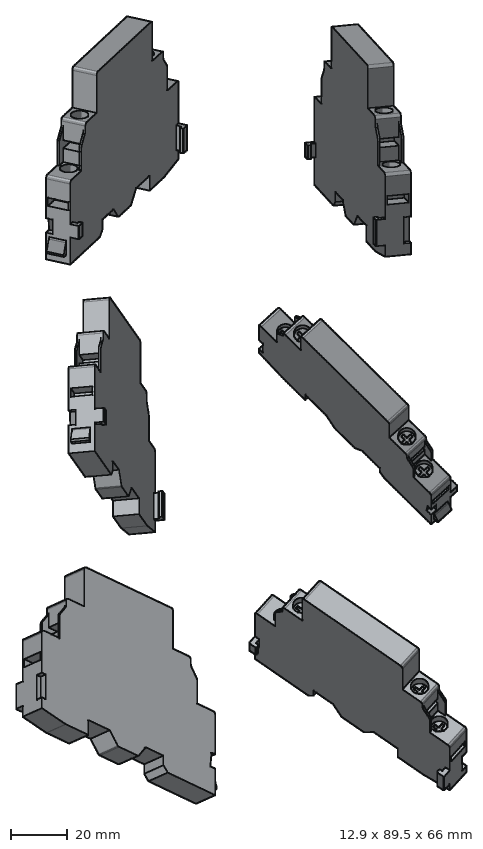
import cadquery as cq


overall_width = 12.9
overall_length = 89.5

body_width = 9.5
body_half = 43.7
body_height = 66.0
top_half = 22.5
upper_shelf_half = 31.4
upper_shelf_z = 50.1
ear_half = 34.6
lower_shelf_z = 32.9
ear_slope_top_z = 46.6
ear_slope_bottom_z = 42.5
ear_radius = 1.8
edge_radius = 1.1
mid_x = body_width / 2

slot_ceiling_z = 5.9
slot_back_y = 20.2
slot_front_y = -17.55
tongue_z = 1.1
tongue_root_back_y = 9.5
tongue_root_front_y = -8.7
tongue_tip_back_y = 5.3
tongue_tip_front_y = -4.9
tongue_radius = 0.7
foot_chamfer = 2.15
heel_y = 31.9
heel_z = 1.9

ear_thickness = 0.8
recess_width = body_width - 2 * ear_thickness
window_height = 3.2
window_depth = 5.4
upper_window_z = 39.9
lower_window_z = 22.8

screw_offsets = (26.4, 35.1)
screw_shelves = (upper_shelf_z, lower_shelf_z)
screw_diameter = 6.3
screw_depth = 3.6
cross_length = 4.65
cross_width = 1.1
cross_depth = 0.5

hook_reach = overall_width - body_width
hook_thickness = 2.0
hook_tip_width = 1.5
hook_length = 3.2
hook_chamfer = 0.3
hook_top_z = 15.9
front_hook_bottom_z = 10.7
back_hook_bottom_z = 6.2
notch_width = 2.6
front_notch_top_depth = 1.9
front_notch_bottom_depth = 2.4
front_notch_top_z = 16.2
front_notch_bottom_z = 10.6

latch_width = 6.6
latch_left_x = 1.3
latch_reach = overall_length - 2 * body_half
latch_top_z = 9.1
latch_bottom_z = 3.5
latch_shoulder_reach = 0.45
latch_shoulder_z = 8.6
latch_lip_undercut = 0.3
latch_lip_z = 4.4


def block(x_range, y_range, z_range):
    """Box spanning the given ranges."""
    size = [abs(high - low) for low, high in (x_range, y_range, z_range)]
    corner = [min(span) for span in (x_range, y_range, z_range)]
    return cq.Workplane("XY").box(*size, centered=False).translate(tuple(corner))


def side_prism(points, x_start, width):
    """Outline of (Y, Z) points extruded along +X."""
    return cq.Workplane("YZ", origin=(x_start, 0, 0)).polyline(points).close().extrude(width)


def make_housing():
    outline = [
        (-body_half, 0),
        (slot_front_y - foot_chamfer, 0),
        (slot_front_y, foot_chamfer),
        (slot_front_y, slot_ceiling_z),
        (tongue_root_front_y, slot_ceiling_z),
        (tongue_tip_front_y, tongue_z),
        (tongue_tip_back_y, tongue_z),
        (tongue_root_back_y, slot_ceiling_z),
        (slot_back_y, slot_ceiling_z),
        (slot_back_y, 0),
        (heel_y, 0),
        (body_half, heel_z),
    ]
    back_steps = [
        (body_half, lower_shelf_z),
        (ear_half, lower_shelf_z),
        (ear_half, ear_slope_bottom_z),
        (upper_shelf_half, ear_slope_top_z),
        (upper_shelf_half, upper_shelf_z),
        (top_half, upper_shelf_z),
        (top_half, body_height),
    ]
    front_steps = [(-y, z) for y, z in reversed(back_steps)]
    housing = side_prism(outline + back_steps + front_steps, 0, body_width)

    rounded_edges = [
        (top_half, body_height, edge_radius),
        (upper_shelf_half, upper_shelf_z, edge_radius),
        (body_half, lower_shelf_z, edge_radius),
        (upper_shelf_half, ear_slope_top_z, ear_radius),
        (ear_half, ear_slope_bottom_z, ear_radius),
    ]
    rounded_edges += [(-y, z, radius) for y, z, radius in rounded_edges]
    rounded_edges += [
        (tongue_tip_front_y, tongue_z, tongue_radius),
        (tongue_tip_back_y, tongue_z, tongue_radius),
    ]
    for y, z, radius in rounded_edges:
        nearest_edge = cq.selectors.NearestToPointSelector((mid_x, y, z))
        housing = housing.edges("|X").edges(nearest_edge).fillet(radius)
    return housing


def make_terminal_cut(side):
    """Recess between the ears and two wire windows; side is -1 for front, 1 for back."""
    x_range = (ear_thickness, ear_thickness + recess_width)
    recess_y = (side * upper_shelf_half, side * ear_half)
    cut = block(x_range, recess_y, (lower_shelf_z, upper_shelf_z))
    for face_y, z in ((upper_shelf_half, upper_window_z), (body_half, lower_window_z)):
        window_y = (side * (face_y - window_depth), side * face_y)
        window_z = (z - window_height / 2, z + window_height / 2)
        cut = cut.union(block(x_range, window_y, window_z))
    return cut


def make_screw_cut(y, shelf_z):
    """Round screw well with a cross-shaped driver slot in its floor."""
    floor_z = shelf_z - screw_depth
    well = cq.Workplane("XY", origin=(mid_x, y, floor_z)).circle(screw_diameter / 2).extrude(screw_depth)
    floor = cq.Workplane("XY", origin=(mid_x, y, floor_z))
    for size in ((cross_length, cross_width), (cross_width, cross_length)):
        well = well.union(floor.rect(*size).extrude(-cross_depth))
    return well


def make_hook(side, bottom_z):
    """L-shaped hook on the right face, its tip pointing towards mid-length."""
    tip_right_x = body_width + hook_reach
    tip_left_x = tip_right_x - hook_tip_width
    outer_y = side * body_half
    inner_y = side * (body_half - hook_thickness)
    tip_y = side * (body_half - hook_length)
    outline = [
        (mid_x, outer_y),
        (tip_right_x, outer_y),
        (tip_right_x, tip_y),
        (tip_left_x, tip_y),
        (tip_left_x, inner_y),
        (mid_x, inner_y),
    ]
    hook = cq.Workplane("XY", origin=(0, 0, bottom_z)).polyline(outline).close()
    hook = hook.extrude(hook_top_z - bottom_z)
    middle_z = (hook_top_z + bottom_z) / 2
    for x, y in outline[1:4]:
        corner = cq.selectors.NearestToPointSelector((x, y, middle_z))
        hook = hook.edges("|Z").edges(corner).chamfer(hook_chamfer)
    return hook


def make_front_notch():
    outline = [
        (-body_half, front_notch_bottom_z),
        (-body_half + front_notch_bottom_depth, front_notch_bottom_z),
        (-body_half + front_notch_top_depth, front_notch_top_z),
        (-body_half, front_notch_top_z),
    ]
    return side_prism(outline, 0, notch_width)


def make_back_notch():
    y_range = (body_half - hook_thickness, body_half)
    return block((0, notch_width), y_range, (back_hook_bottom_z, hook_top_z))


def make_latch():
    outline = [
        (-body_half, latch_top_z),
        (-body_half - latch_shoulder_reach, latch_shoulder_z),
        (-body_half - latch_reach, latch_lip_z),
        (-body_half - latch_reach + latch_lip_undercut, latch_bottom_z),
        (-body_half, latch_bottom_z),
    ]
    return side_prism(outline, latch_left_x, latch_width)


result = make_housing()
for side in (-1, 1):
    result = result.cut(make_terminal_cut(side))
    for offset, shelf_z in zip(screw_offsets, screw_shelves):
        result = result.cut(make_screw_cut(side * offset, shelf_z))
result = result.cut(make_front_notch()).cut(make_back_notch())
result = result.union(make_hook(-1, front_hook_bottom_z))
result = result.union(make_hook(1, back_hook_bottom_z))
result = result.union(make_latch())